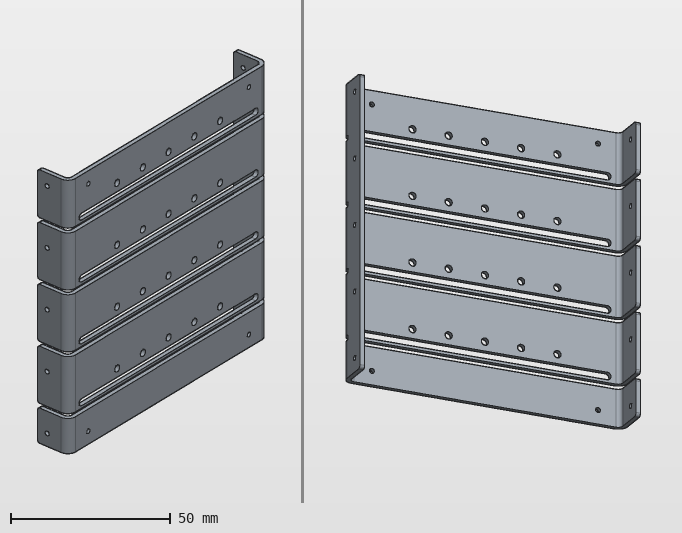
import cadquery as cq

DEPTH = 13.0
WIDTH = 96.8
HEIGHT = 99.5
THICKNESS = 1.6
INNER_BEND_RADIUS = 1.6
OUTER_BEND_RADIUS = INNER_BEND_RADIUS + THICKNESS
FLANGE_CORNER_RADIUS = 1.1

PITCH = 22.5
SLIT_COUNT = 4

FIRST_SLIT_Z = 13.7
SLIT_HEIGHT = 1.7
SLIT_TIP_X = 8.9

SLOT_ABOVE_SLIT = 3.1
SLOT_LENGTH = 86.9
SLOT_HEIGHT = 2.5

ROW_ABOVE_SLIT = 7.55
ROW_HOLE_COUNT = 5
ROW_HOLE_SPACING = 12.5
ROW_HOLE_DIAMETER = 2.4

MOUNT_HOLE_DIAMETER = 1.6
MOUNT_HOLE_COUNT = SLIT_COUNT + 1
MOUNT_HOLE_Z = (HEIGHT - (MOUNT_HOLE_COUNT - 1) * PITCH) / 2
FLANGE_HOLE_X = 4.0
WEB_CORNER_HOLE_SPACING = 78.0

SLIT_HEIGHTS = [FIRST_SLIT_Z + i * PITCH for i in range(SLIT_COUNT)]
MOUNT_HEIGHTS = [MOUNT_HOLE_Z + i * PITCH for i in range(MOUNT_HOLE_COUNT)]


def rounded_block(depth, width, bend_radius):
    """Full-height block from X = 0, centred on Y, with its two +X corners rounded."""
    block = cq.Workplane("XY").box(depth, width, HEIGHT, centered=(False, True, False))
    return block.edges("|Z and >X").fillet(bend_radius)


def make_channel():
    """Web at +X with a flange toward -X on each side, rounded at both bends."""
    outer = rounded_block(DEPTH, WIDTH, OUTER_BEND_RADIUS)
    inner = rounded_block(DEPTH - THICKNESS, WIDTH - 2 * THICKNESS, INNER_BEND_RADIUS)
    return outer.cut(inner)


def make_slit(z):
    """Cutter through the -Y flange, the web and both bends, round-ended in the +Y flange."""
    tip_radius = SLIT_HEIGHT / 2
    tip_center_x = SLIT_TIP_X + tip_radius

    main_cut = cq.Workplane("XY").box(DEPTH, WIDTH, SLIT_HEIGHT, centered=(False, True, True))
    main_cut = main_cut.translate((0, -THICKNESS, z))

    relief = cq.Workplane("XY").box(
        DEPTH - tip_center_x, WIDTH, SLIT_HEIGHT, centered=(False, True, True)
    )
    relief = relief.translate((tip_center_x, 0, z))
    tip = cq.Workplane("XZ", origin=(tip_center_x, 0, z)).circle(tip_radius)
    tip = tip.extrude(WIDTH / 2, both=True)
    return main_cut.union(relief).union(tip)


def round_flange_corners(body):
    """Round every free corner of the flange tips."""
    return body.edges("|Y and <X").fillet(FLANGE_CORNER_RADIUS)


def drill_web(points, diameter):
    """Round cutters along X through the web at the given (y, z) points."""
    return cq.Workplane("YZ").pushPoints(points).circle(diameter / 2).extrude(DEPTH)


def make_web_slots():
    """Long round-ended slots, one above each slit."""
    points = [(0, z + SLOT_ABOVE_SLIT) for z in SLIT_HEIGHTS]
    return cq.Workplane("YZ").pushPoints(points).slot2D(SLOT_LENGTH, SLOT_HEIGHT).extrude(DEPTH)


def make_row_holes():
    """Evenly spaced row of holes above each long slot."""
    middle = (ROW_HOLE_COUNT - 1) / 2
    offsets = [(i - middle) * ROW_HOLE_SPACING for i in range(ROW_HOLE_COUNT)]
    points = [(y, z + ROW_ABOVE_SLIT) for z in SLIT_HEIGHTS for y in offsets]
    return drill_web(points, ROW_HOLE_DIAMETER)


def make_web_corner_holes():
    """One mounting hole near each corner of the web."""
    half = WEB_CORNER_HOLE_SPACING / 2
    points = [(y, z) for y in (-half, half) for z in (MOUNT_HEIGHTS[0], MOUNT_HEIGHTS[-1])]
    return drill_web(points, MOUNT_HOLE_DIAMETER)


def make_flange_holes():
    """Mounting holes along Y through both flanges."""
    points = [(FLANGE_HOLE_X, z) for z in MOUNT_HEIGHTS]
    holes = cq.Workplane("XZ").pushPoints(points).circle(MOUNT_HOLE_DIAMETER / 2)
    return holes.extrude(WIDTH / 2, both=True)


result = make_channel()
for slit_z in SLIT_HEIGHTS:
    result = result.cut(make_slit(slit_z))
result = round_flange_corners(result)
result = result.cut(make_web_slots())
result = result.cut(make_row_holes())
result = result.cut(make_web_corner_holes())
result = result.cut(make_flange_holes())